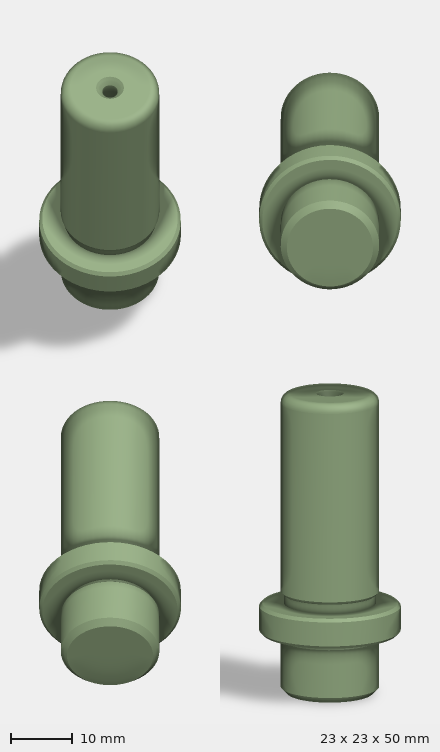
import cadquery as cq
import math

total_height = 50.0
pin_diameter = 16.0
tip_fillet = 1.5
base_chamfer = 1.0

collar_diameter = 23.0
collar_bottom = 10.0
collar_height = 5.0
collar_chamfer = 0.5

groove_diameter = 15.0
lower_groove_width = 1.0
upper_groove_width = 2.0

countersink_diameter = 4.5
countersink_angle = 90.0
bore_diameter = 2.5
bore_depth = 8.0
drill_point_angle = 118.0

pin_radius = pin_diameter / 2
groove_radius = groove_diameter / 2
groove_depth = pin_radius - groove_radius
collar_top = collar_bottom + collar_height


def cylinder(diameter, bottom, top):
    return cq.Workplane("XY").workplane(offset=bottom).circle(diameter / 2).extrude(top - bottom)


def cone_height(large_diameter, small_diameter, included_angle):
    return (large_diameter - small_diameter) / 2 / math.tan(math.radians(included_angle / 2))


def make_shank():
    """Lower cylinder with a lead-in chamfer and a bevel into the groove."""
    shank = cylinder(pin_diameter, 0, collar_bottom - lower_groove_width + groove_depth)
    return shank.faces("<Z").chamfer(base_chamfer).faces(">Z").chamfer(groove_depth)


def make_collar():
    collar = cylinder(collar_diameter, collar_bottom, collar_top)
    return collar.faces("<Z or >Z").chamfer(collar_chamfer)


def make_guide():
    """Upper cylinder with a rounded tip and a bevel into the groove."""
    guide = cylinder(pin_diameter, collar_top + upper_groove_width - groove_depth, total_height)
    return guide.faces(">Z").fillet(tip_fillet).faces("<Z").chamfer(groove_depth)


def make_groove_core():
    """Reduced diameter that joins the shank, collar and guide."""
    bottom = collar_bottom - lower_groove_width
    top = collar_top + upper_groove_width
    return cylinder(groove_diameter, bottom, top)


def make_centre_hole():
    countersink_bottom = total_height - cone_height(countersink_diameter, bore_diameter, countersink_angle)
    bore_bottom = total_height - bore_depth
    point_bottom = bore_bottom - cone_height(bore_diameter, 0, drill_point_angle)
    half_profile = (
        cq.Workplane("XZ")
        .moveTo(0, total_height)
        .lineTo(countersink_diameter / 2, total_height)
        .lineTo(bore_diameter / 2, countersink_bottom)
        .lineTo(bore_diameter / 2, bore_bottom)
        .lineTo(0, point_bottom)
        .close()
    )
    return half_profile.revolve(360, (0, 0, 0), (0, 1, 0))


body = make_shank().union(make_groove_core()).union(make_collar()).union(make_guide())
result = body.cut(make_centre_hole())